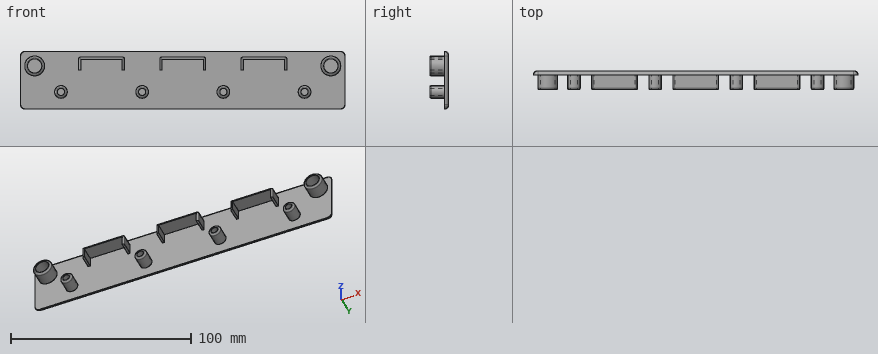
import cadquery as cq

plate_length = 180.0
plate_height = 32.0
plate_thickness = 2.3
back_radius = plate_thickness
corner_radius = 2.7

total_depth = 10.5
projection = total_depth - plate_thickness
rim_radius = 0.9

socket_diameter = 11.0
socket_bore = 8.0
socket_x = 82.0
socket_z = 8.0

pitch = 45.0
tube_count = 4
tube_diameter = 7.0
tube_bore = 4.0
tube_z = -6.5
hood_count = tube_count - 1
hood_width = 25.4
hood_height = 7.2
hood_wall = 1.3
hood_top = 12.8


def row_positions(count):
    """X positions of a row of equally pitched items centred on X = 0."""
    return [(i - (count - 1) / 2) * pitch for i in range(count)]


def make_plate():
    """Plate with its back rim rounded through the full thickness, cut from a thicker blank."""
    blank = cq.Workplane("XZ", origin=(0, plate_thickness, 0))
    plate = blank.rect(plate_length, plate_height).extrude(2 * plate_thickness)
    plate = plate.edges("|Y").fillet(corner_radius)
    plate = plate.faces(">Y").edges().fillet(back_radius)
    return plate.intersect(cq.Workplane("XZ").rect(plate_length, plate_height).extrude(-plate_thickness))


def make_tube(x, z, diameter, bore):
    """Blind tube with a rounded rim, its bore ending at the plate."""
    tube = cq.Workplane("XZ").center(x, z).circle(diameter / 2).extrude(projection)
    tube = tube.faces("<Y").fillet(rim_radius)
    hole = cq.Workplane("XZ").center(x, z).circle(bore / 2).extrude(projection)
    return tube.cut(hole)


def make_hood(x):
    """Three-sided hood open at the bottom and the front, with rounded outer edges."""
    block = (
        cq.Workplane("XZ")
        .center(x, hood_top - hood_height / 2)
        .rect(hood_width, hood_height)
        .extrude(projection)
    )
    block = block.edges("(>Z or <Y) and (not (>Y or <Z))").fillet(rim_radius)
    opening = (
        cq.Workplane("XZ")
        .center(x, hood_top - hood_wall - hood_height / 2)
        .rect(hood_width - 2 * hood_wall, hood_height)
        .extrude(projection)
    )
    return block.cut(opening)


result = make_plate()
for side in (-1, 1):
    result = result.union(make_tube(side * socket_x, socket_z, socket_diameter, socket_bore))
for tube_x in row_positions(tube_count):
    result = result.union(make_tube(tube_x, tube_z, tube_diameter, tube_bore))
for hood_x in row_positions(hood_count):
    result = result.union(make_hood(hood_x))